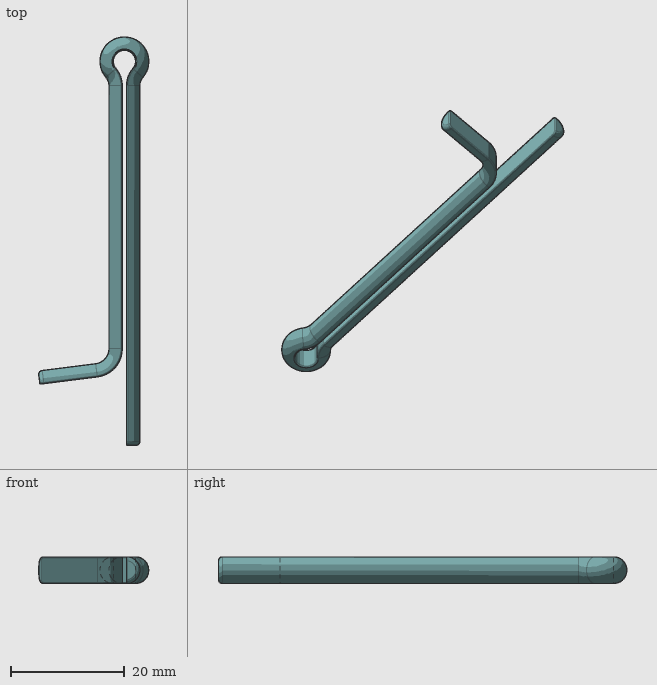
import cadquery as cq
import math

wire_radius = 2.4
flat_edge_rounding = 0.2
tip_rounding = 0.7

eye_inner_radius = 1.95
leg_gap = 0.7
neck_radius = 4.6

overall_length = 71.95
overall_width = 19.4
bend_start_y = -50.6
bend_radius = 5.05
arm_droop = math.radians(7.2)

eye_outer_radius = eye_inner_radius + wire_radius
flat_x = leg_gap / 2
straight_tip_y = eye_outer_radius - overall_length
arm_tip_x = eye_outer_radius - overall_width

neck_center_x = flat_x + neck_radius
neck_center_distance = eye_inner_radius + neck_radius
neck_y = -math.sqrt(neck_center_distance**2 - neck_center_x**2)
neck_angle = math.atan2(neck_y, neck_center_x)
eye_end_x = eye_inner_radius * math.cos(neck_angle)
eye_end_y = eye_inner_radius * math.sin(neck_angle)
neck_mid_angle = math.pi + neck_angle / 2
neck_mid_x = neck_center_x + neck_radius * math.cos(neck_mid_angle)
neck_mid_y = neck_y + neck_radius * math.sin(neck_mid_angle)

bend_center_x = -flat_x - bend_radius
bend_turn = math.pi / 2 - arm_droop


def bend_point(turn):
    """Point on the bend after turning by the given angle from the straight leg."""
    return (
        bend_center_x + bend_radius * math.cos(turn),
        bend_start_y - bend_radius * math.sin(turn),
    )


bend_end = bend_point(bend_turn)

tip_center_x = arm_tip_x + tip_rounding
tip_center_offset = wire_radius - tip_rounding
arm_run = bend_end[0] - tip_center_x - tip_center_offset * math.sin(arm_droop)
arm_length = arm_run / math.cos(arm_droop) + tip_rounding
arm_end = (
    bend_end[0] - arm_length * math.cos(arm_droop),
    bend_end[1] - arm_length * math.sin(arm_droop),
)


def wire_path():
    """Centre of the wire's flat side, from the straight tip round to the bent tip."""
    return (
        cq.Workplane("XY")
        .moveTo(flat_x, straight_tip_y)
        .lineTo(flat_x, neck_y)
        .threePointArc((neck_mid_x, neck_mid_y), (eye_end_x, eye_end_y))
        .threePointArc((0, eye_inner_radius), (-eye_end_x, eye_end_y))
        .threePointArc((-neck_mid_x, neck_mid_y), (-flat_x, neck_y))
        .lineTo(-flat_x, bend_start_y)
        .threePointArc(bend_point(bend_turn / 2), bend_end)
        .lineTo(*arm_end)
    )


def wire_section():
    """Half disc at the straight tip, flat side toward the gap."""
    return (
        cq.Workplane("XZ", origin=(flat_x, straight_tip_y, 0))
        .moveTo(0, -wire_radius)
        .threePointArc((wire_radius, 0), (0, wire_radius))
        .close()
    )


def round_tip(body, tip_point):
    """Round the curved rim of the wire's end face at the given point."""
    tip_face = body.faces(cq.selectors.NearestToPointSelector(tip_point))
    return body.newObject(tip_face.edges("not %LINE").vals()).fillet(tip_rounding)


def round_flat_side(body):
    """Round the rim of the flat side; the rounding runs on along all tangent edges."""
    tip_edge_point = (flat_x, straight_tip_y, 0)
    return body.edges(cq.selectors.NearestToPointSelector(tip_edge_point)).fillet(flat_edge_rounding)


half_depth = wire_radius / 2
straight_tip_center = (flat_x + half_depth, straight_tip_y, 0)
arm_tip_center = (
    arm_end[0] - half_depth * math.sin(arm_droop),
    arm_end[1] + half_depth * math.cos(arm_droop),
    0,
)

result = wire_section().sweep(wire_path())
result = round_tip(result, straight_tip_center)
result = round_tip(result, arm_tip_center)
result = round_flat_side(result)